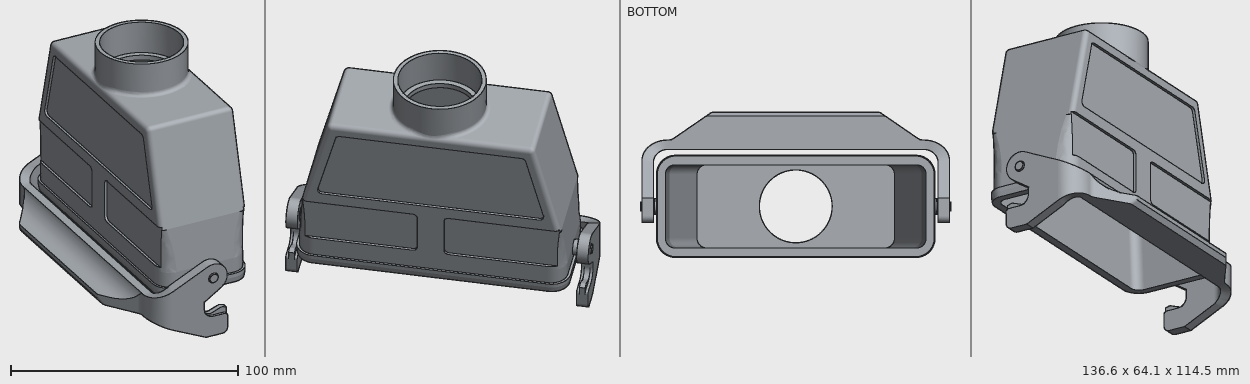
import cadquery as cq
import math


BODY_HALF_Y = 21.6
SKIRT_HALF_X = 60.1
SHOULDER_HALF_X = 58.2
ROOF_HALF_X = 46.2
SKIRT_TOP = 11.5
SHOULDER_Z = 32.8
ROOF_Z = 78.4
SKIRT_CORNER = 7.5
MID_FLARE_CORNER = 6.3
SHOULDER_CORNER = 3.3
CROWN_ROUND = 2.3
WALL_X = 2.7
WALL_Y = 3.3
ROOF_WALL = 1.5

FLANGE_OVERHANG = 1.2
FLANGE_SIDE_OVERHANG = 1.0
FLANGE_TOP = 4.5
FLANGE_DRAFT_TOP = 2.5
FLANGE_DRAFT = 0.4

COLLAR_RADIUS = 41.0 / 2
COLLAR_TOP = 94.4
COLLAR_BORE = 37.0
COLLAR_BORE_DEPTH = 15.2
CABLE_HOLE = 32.0
COLLAR_FILLET = 1.9

RECESS_DEPTH = 1.2
RECESS_CORNER = 2.0
PANEL_BOTTOM = 39.5
PANEL_TOP = 73.2
PANEL_BOTTOM_HALF_X = 51.2
PANEL_TOP_HALF_X = 42.2
GRIP_BOTTOM = 13.7
GRIP_TOP = 34.2
GRIP_INNER_X = 6.0

PIVOT_Z = 8.7
BOSS_DIAMETER = 7.0
BOSS_END_X = 62.2
PIN_DIAMETER = 4.0
PIN_END_X = 68.3
PIN_HOLE = 4.8

ARM_OUTER_X = 67.8
ARM_INNER_X = 62.5
PLATE_FRONT_Y = -29.2
PLATE_BACK_Y = -25.0
BEND_START_Y_OUTER = -20.1
BEND_START_Y_INNER = -19.4
BEND_END_X = 56.4
BEND_SECTIONS = 5
EYE_RADIUS = 6.8
ARM_SLOPE = math.radians(25)
LEVER_BOTTOM = -20.1
HEEL_Y = -3.7
HOOK_BACK_Y = 7.1
HOOK_HEEL_ROUND = 2.7
HOOK_TIP_ROUND = 1.4
HOOK_LEDGE_Z = -10.4
SLOT_FRONT_Y = -4.5
SLOT_TOP_Z = -2.3

RIB_WIDTH = 2.6
RIB_SEAT_RADIUS = BOSS_DIAMETER / 2
RIB_SEAT_Z = -5.9
RIB_SLOPE = math.radians(20)
RIB_CREST_Y = 4.8
RIB_BACK_Z = -8.0
RIB_CREST_ROUND = 1.4

HANDLE_ROOT_HALF_X = 54.8
HANDLE_TIP_HALF_X = 36.9
HANDLE_TIP_Y = -41.5
HANDLE_TIP_BEVEL_Y = -39.9
HANDLE_TIP_BEVEL_Z = -5.7
HANDLE_TOP = -3.7
HANDLE_FLAT_START_Y = -38.2
HANDLE_SIDE_FILLET = 4.6
HANDLE_TIP_ROUND = 2.3

PICK_MARGIN = 0.1


def rounded_tier(*sections):
    """Solid lofted through rounded rectangles given as (z, half_x, half_y, corner radius)."""
    wires = []
    for z, half_x, half_y, corner in sections:
        block = cq.Workplane("XY", origin=(0, 0, z)).rect(2 * half_x, 2 * half_y).extrude(1.4)
        wires.append(block.edges("|Z").fillet(corner).faces("<Z").wires().val())
    return cq.Workplane(cq.Solid.makeLoft(wires, ruled=len(wires) == 2))


def both_ends(solid):
    """The solid and its mirror image across the YZ plane."""
    return [solid, solid.mirror("YZ")]


def make_crown():
    half_outline = [(SHOULDER_HALF_X, SHOULDER_Z), (ROOF_HALF_X, ROOF_Z)]
    outline = half_outline + [(-x, z) for x, z in reversed(half_outline)]
    crown = cq.Workplane("XZ").polyline(outline).close().extrude(BODY_HALF_Y, both=True)
    crown = crown.edges("not <Z").fillet(CROWN_ROUND)
    collar = cq.Workplane("XY", origin=(0, 0, SHOULDER_Z)).circle(COLLAR_RADIUS)
    crown = crown.union(collar.extrude(COLLAR_TOP - SHOULDER_Z))
    reach = COLLAR_RADIUS + PICK_MARGIN
    collar_root = cq.selectors.BoxSelector(
        (-reach, -reach, ROOF_Z - CROWN_ROUND / 2),
        (reach, reach, ROOF_Z + PICK_MARGIN),
        boundingbox=True,
    )
    return crown.edges(collar_root).fillet(COLLAR_FILLET)


def make_shell():
    skirt = rounded_tier(
        (0, SKIRT_HALF_X, BODY_HALF_Y, SKIRT_CORNER),
        (SKIRT_TOP, SKIRT_HALF_X, BODY_HALF_Y, SKIRT_CORNER),
    )
    middle_z = (SKIRT_TOP + SHOULDER_Z) / 2
    middle_half_x = (SKIRT_HALF_X + SHOULDER_HALF_X) / 2
    flare = rounded_tier(
        (SKIRT_TOP, SKIRT_HALF_X, BODY_HALF_Y, SKIRT_CORNER),
        (middle_z, middle_half_x, BODY_HALF_Y, MID_FLARE_CORNER),
        (SHOULDER_Z, SHOULDER_HALF_X, BODY_HALF_Y, SHOULDER_CORNER),
    )
    return make_crown().union(flare).union(skirt)


def make_flange():
    half_x = SKIRT_HALF_X + FLANGE_OVERHANG
    half_y = BODY_HALF_Y + FLANGE_SIDE_OVERHANG
    corner = SKIRT_CORNER + FLANGE_SIDE_OVERHANG
    rim = (FLANGE_DRAFT_TOP, half_x, half_y, corner)
    foot = rounded_tier(
        (0, half_x - FLANGE_DRAFT, half_y - FLANGE_DRAFT, corner - FLANGE_DRAFT),
        rim,
    )
    return foot.union(rounded_tier(rim, (FLANGE_TOP, half_x, half_y, corner)))


def make_cavity():
    half_y = BODY_HALF_Y - WALL_Y
    corner = SKIRT_CORNER - WALL_Y
    bottom = (0, SKIRT_HALF_X - WALL_X, half_y, corner)
    shoulder = (SHOULDER_Z, SHOULDER_HALF_X - WALL_X, half_y, corner)
    top = (ROOF_Z - ROOF_WALL, ROOF_HALF_X - WALL_X, half_y, corner)
    return rounded_tier(bottom, shoulder).union(rounded_tier(shoulder, top))


def make_cable_passage():
    rim = cq.Workplane("XY", origin=(0, 0, COLLAR_TOP))
    bore = rim.circle(COLLAR_BORE / 2).extrude(-COLLAR_BORE_DEPTH)
    hole = rim.circle(CABLE_HOLE / 2).extrude(SHOULDER_Z - COLLAR_TOP)
    return bore.union(hole)


def make_side_recesses():
    """Cutters for the panel recess and the two grip recesses of the front side."""
    face = cq.Workplane("XZ", origin=(0, -BODY_HALF_Y + RECESS_DEPTH, 0))
    half_panel = [(PANEL_BOTTOM_HALF_X, PANEL_BOTTOM), (PANEL_TOP_HALF_X, PANEL_TOP)]
    panel_outline = half_panel + [(-x, z) for x, z in reversed(half_panel)]
    panel = face.polyline(panel_outline).close().extrude(2 * RECESS_DEPTH)
    panel = panel.edges("|Y").fillet(RECESS_CORNER)
    grip_centre = ((GRIP_INNER_X + SKIRT_HALF_X) / 2, (GRIP_BOTTOM + GRIP_TOP) / 2)
    grip = face.moveTo(*grip_centre).rect(SKIRT_HALF_X - GRIP_INNER_X, GRIP_TOP - GRIP_BOTTOM)
    grip = grip.extrude(2 * RECESS_DEPTH)
    grip = grip.edges("|Y and <X").fillet(RECESS_CORNER)
    return [panel] + both_ends(grip)


def make_hinge_pin():
    """Boss and thinner pin on the +X end, starting inside the end wall."""
    start_x = SKIRT_HALF_X - WALL_X / 2
    wall = cq.Workplane("YZ", origin=(start_x, 0, PIVOT_Z))
    boss = wall.circle(BOSS_DIAMETER / 2).extrude(BOSS_END_X - start_x)
    pin = wall.circle(PIN_DIAMETER / 2).extrude(PIN_END_X - start_x)
    return boss.union(pin)


def make_hood():
    hood = make_shell().union(make_flange())
    for recess in make_side_recesses():
        hood = hood.cut(recess).cut(recess.mirror("XZ"))
    hood = hood.cut(make_cavity()).cut(make_cable_passage())
    for pin in both_ends(make_hinge_pin()):
        hood = hood.union(pin)
    return hood


def eye_tangent_point(y, z):
    """Point of the hinge eye, on its +Y side, touched by the line from (y, z) below it."""
    to_point = math.atan2(z - PIVOT_Z, y)
    angle = to_point + math.acos(EYE_RADIUS / math.hypot(y, z - PIVOT_Z))
    return (EYE_RADIUS * math.cos(angle), PIVOT_Z + EYE_RADIUS * math.sin(angle))


def slope_top(y):
    """Height of the sloping upper edge of the lever at y."""
    return PIVOT_Z + EYE_RADIUS / math.cos(ARM_SLOPE) + y * math.tan(ARM_SLOPE)


def slope_bottom(y):
    """Height of the sloping lower edge of the lever at y."""
    return LEVER_BOTTOM + (HEEL_Y - y) * math.tan(ARM_SLOPE)


PLATE_TOP = slope_top(PLATE_FRONT_Y)
PLATE_BOTTOM = slope_bottom(PLATE_FRONT_Y)


def make_side_profile():
    """Outline of the lever seen along X, extruded across the whole width."""
    top_tangent = (-EYE_RADIUS * math.sin(ARM_SLOPE), PIVOT_Z + EYE_RADIUS * math.cos(ARM_SLOPE))
    eye_mid = (EYE_RADIUS * math.cos(ARM_SLOPE), PIVOT_Z + EYE_RADIUS * math.sin(ARM_SLOPE))
    slot_radius = -SLOT_FRONT_Y
    slot_mid = (-slot_radius * math.sqrt(0.5), HOOK_LEDGE_Z + slot_radius * (1 - math.sqrt(0.5)))
    profile = (
        cq.Workplane("YZ")
        .moveTo(*top_tangent)
        .lineTo(PLATE_FRONT_Y, PLATE_TOP)
        .lineTo(PLATE_FRONT_Y, PLATE_BOTTOM)
        .lineTo(HEEL_Y, LEVER_BOTTOM)
        .lineTo(HOOK_BACK_Y, LEVER_BOTTOM)
        .lineTo(HOOK_BACK_Y, HOOK_LEDGE_Z)
        .lineTo(0, HOOK_LEDGE_Z)
        .threePointArc(slot_mid, (SLOT_FRONT_Y, HOOK_LEDGE_Z + slot_radius))
        .lineTo(SLOT_FRONT_Y, SLOT_TOP_Z)
        .lineTo(*eye_tangent_point(SLOT_FRONT_Y, SLOT_TOP_Z))
        .threePointArc(eye_mid, top_tangent)
        .close()
        .extrude(ARM_OUTER_X, both=True)
    )
    profile = profile.faces(">Y").edges("<Z").fillet(HOOK_HEEL_ROUND)
    return profile.faces(">Y").edges(">Z").fillet(HOOK_TIP_ROUND)


def make_arm():
    """Flat +X arm with the hinge eye and the hook, ending where the bend starts."""
    outline = [
        (ARM_INNER_X, HOOK_BACK_Y),
        (ARM_OUTER_X, HOOK_BACK_Y),
        (ARM_OUTER_X, BEND_START_Y_OUTER),
        (ARM_INNER_X, BEND_START_Y_INNER),
    ]
    height = PIVOT_Z + EYE_RADIUS - LEVER_BOTTOM
    plan = cq.Workplane("XY", origin=(0, 0, LEVER_BOTTOM)).polyline(outline).close().extrude(height)
    return make_side_profile().intersect(plan)


def make_bend():
    """+X bend, lofted through upright sections that narrow from the arm to the front plate."""
    sides = (
        (ARM_INNER_X, BEND_START_Y_INNER, PLATE_BACK_Y),
        (ARM_OUTER_X, BEND_START_Y_OUTER, PLATE_FRONT_Y),
    )
    wires = []
    for step in range(BEND_SECTIONS):
        angle = math.radians(90 * step / (BEND_SECTIONS - 1))
        corners = []
        for start_x, start_y, end_y in sides:
            x = BEND_END_X + (start_x - BEND_END_X) * math.cos(angle)
            y = start_y + (end_y - start_y) * math.sin(angle)
            top = slope_top(start_y) + (PLATE_TOP - slope_top(start_y)) * math.sin(angle)
            bottom = slope_bottom(start_y) + (PLATE_BOTTOM - slope_bottom(start_y)) * math.sin(angle)
            corners.append((cq.Vector(x, y, bottom), cq.Vector(x, y, top)))
        (inner_low, inner_high), (outer_low, outer_high) = corners
        wires.append(cq.Wire.makePolygon([inner_low, inner_high, outer_high, outer_low], close=True))
    return cq.Workplane(cq.Solid.makeLoft(wires))


def make_front_plate():
    middle_y = (PLATE_FRONT_Y + PLATE_BACK_Y) / 2
    base = cq.Workplane("XY", origin=(0, middle_y, PLATE_BOTTOM))
    return base.rect(2 * BEND_END_X, PLATE_BACK_Y - PLATE_FRONT_Y).extrude(PLATE_TOP - PLATE_BOTTOM)


def make_catch_rib():
    """Raised rib on the +X hook: a round seat in the slot, then a ramp up to a crest."""
    arm_middle_x = (ARM_INNER_X + ARM_OUTER_X) / 2
    seat_centre_y = SLOT_FRONT_Y + RIB_SEAT_RADIUS
    seat_end = (
        seat_centre_y + RIB_SEAT_RADIUS * math.sin(RIB_SLOPE),
        RIB_SEAT_Z - RIB_SEAT_RADIUS * math.cos(RIB_SLOPE),
    )
    crest_z = seat_end[1] + (RIB_CREST_Y - seat_end[0]) * math.tan(RIB_SLOPE)
    mid_angle = math.radians(225)
    seat_mid = (
        seat_centre_y + RIB_SEAT_RADIUS * math.cos(mid_angle),
        RIB_SEAT_Z + RIB_SEAT_RADIUS * math.sin(mid_angle),
    )
    rib = (
        cq.Workplane("YZ", origin=(arm_middle_x, 0, 0))
        .moveTo(SLOT_FRONT_Y, RIB_SEAT_Z)
        .threePointArc(seat_mid, seat_end)
        .lineTo(RIB_CREST_Y, crest_z)
        .lineTo(HOOK_BACK_Y, RIB_BACK_Z)
        .lineTo(HOOK_BACK_Y, HOOK_LEDGE_Z - HOOK_TIP_ROUND)
        .lineTo(SLOT_FRONT_Y, HOOK_LEDGE_Z - HOOK_TIP_ROUND)
        .close()
        .extrude(RIB_WIDTH / 2, both=True)
    )
    crest = cq.selectors.NearestToPointSelector((arm_middle_x, RIB_CREST_Y, crest_z))
    return rib.edges(crest).fillet(RIB_CREST_ROUND)


def make_handle():
    drop = PLATE_TOP - HANDLE_TOP
    reach = PLATE_FRONT_Y - HANDLE_FLAT_START_Y
    radius = (drop**2 + reach**2) / (2 * drop)
    half_sweep = math.atan2(drop, reach)
    sweep_mid = (
        HANDLE_FLAT_START_Y + radius * math.sin(half_sweep),
        HANDLE_TOP + radius * (1 - math.cos(half_sweep)),
    )
    section = (
        cq.Workplane("YZ")
        .moveTo(PLATE_BACK_Y, PLATE_BOTTOM)
        .lineTo(PLATE_BACK_Y, PLATE_TOP)
        .lineTo(PLATE_FRONT_Y, PLATE_TOP)
        .threePointArc(sweep_mid, (HANDLE_FLAT_START_Y, HANDLE_TOP))
        .lineTo(HANDLE_TIP_Y, HANDLE_TOP)
        .lineTo(HANDLE_TIP_Y, HANDLE_TIP_BEVEL_Z)
        .lineTo(HANDLE_TIP_BEVEL_Y, PLATE_BOTTOM)
        .close()
        .extrude(ARM_INNER_X, both=True)
    )
    half_plan = [
        (BEND_END_X, PLATE_BACK_Y),
        (BEND_END_X, PLATE_FRONT_Y),
        (HANDLE_ROOT_HALF_X, PLATE_FRONT_Y),
        (HANDLE_TIP_HALF_X, HANDLE_TIP_Y),
    ]
    outline = half_plan + [(-x, y) for x, y in reversed(half_plan)]
    base = cq.Workplane("XY", origin=(0, 0, LEVER_BOTTOM))
    plan = base.polyline(outline).close().extrude(-2 * LEVER_BOTTOM)
    for side in (-1, 1):
        root_corner = cq.selectors.NearestToPointSelector((side * HANDLE_ROOT_HALF_X, PLATE_FRONT_Y, 0))
        plan = plan.edges(root_corner).fillet(HANDLE_SIDE_FILLET)
    handle = section.intersect(plan)
    for side in (-1, 1):
        tip_corner = cq.selectors.BoxSelector(
            (side * (HANDLE_TIP_HALF_X - PICK_MARGIN), HANDLE_TIP_Y - PICK_MARGIN, PLATE_BOTTOM - PICK_MARGIN),
            (side * HANDLE_ROOT_HALF_X, HANDLE_TIP_BEVEL_Y + PICK_MARGIN, HANDLE_TOP + PICK_MARGIN),
            boundingbox=True,
        )
        handle = handle.edges(tip_corner).fillet(HANDLE_TIP_ROUND)
    return handle


def make_lever():
    lever = make_front_plate().union(make_handle())
    for end_part in (make_bend(), make_arm(), make_catch_rib()):
        for piece in both_ends(end_part):
            lever = lever.union(piece)
    pin_hole = cq.Workplane("YZ", origin=(0, 0, PIVOT_Z)).circle(PIN_HOLE / 2)
    return lever.cut(pin_hole.extrude(PIN_END_X, both=True))


hood = make_hood()
lever = make_lever()
result = cq.Compound.makeCompound([hood.solids().val(), lever.solids().val()])